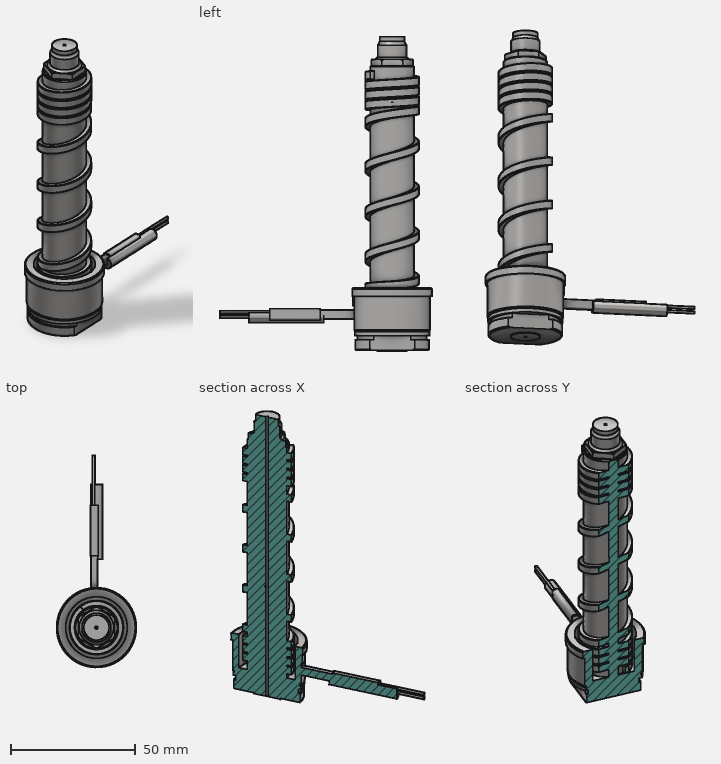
import cadquery as cq
import math

LENGTH = 126.2
BORE_RADIUS = 0.5

FLANGE_RADIUS = 16.0
FLANGE_TOP = 25.5
FLANGE_BOTTOM = 22.1
FLANGE_ROOT_RADIUS = 15.4
CUP_RADIUS = 15.3
CUP_BOTTOM = 8.6
LOWER_RING_RADIUS = 15.0
LOWER_RING_BOTTOM = 6.3
GROOVE_RADIUS = 14.5
GROOVE_HEIGHT = 0.8
EDGE_BREAK = 0.5
RECESS_RADIUS = 12.4

NUT_RADIUS = 14.9
NUT_TOP = 4.5
NUT_BOTTOM = 0.4
NUT_NECK_RADIUS = 14.0
NUT_HALF_FLATS = 11.9
FOOT_RADIUS = 5.9

TUBE_RADIUS = 8.8
TUBE_TOP = 114.6
HEX_HALF_FLATS = 7.3
HEX_TOP = 117.1
HEX_CHAMFER = 0.4
HEX_CONE_RADIUS = 7.0
TIP_BODY_RADIUS = 5.8
TIP_BODY_BOTTOM = 118.0
TIP_BODY_TOP = 122.8
TIP_COLLAR_RADIUS = 5.3
TIP_COLLAR_TOP = 123.5
TIP_RADIUS = 5.0
TIP_SHOULDER = 124.3

SPRING_RADIUS = 10.9
SPRING_EMBED = 0.3
WIRE_HEIGHT = 3.4
WIRE_CHAMFER = 0.3
CLOSED_PITCH = 3.9
OPEN_PITCH = 18.0
OPEN_START_HEIGHT = 30.4
POINTS_PER_TURN = 16

LOWER_CLOSED_END_ANGLE = -180
OPEN_START_ANGLE = -52
OPEN_END_ANGLE = 3 * 360 + 90
UPPER_CLOSED_START_ANGLE = 3 * 360 + 247
SPRING_END_ANGLE = 7 * 360 + 127

CABLE_X = -0.9
CABLE_Z = 14.8
CABLE_WIDTH = 2.7
CABLE_HEIGHT = 3.7
CABLE_CORNER = 0.5
CLIP_WIDTH = 3.0
CLIP_HEIGHT = 4.8
CLIP_CORNER = 0.9
CLIP_START = 28.9
CLIP_END = 49.1
SLEEVE_RADIUS = 2.4
SLEEVE_X = 0.1
SLEEVE_Z = 13.8
SLEEVE_START = 27.4
SLEEVE_END = 57.4
LEAD_RADIUS = 0.57
LEAD_X = -1.1
LEAD_SPACING = 1.9
CABLE_END = 69.0
ENTRY_Y = 15.8
ENTRY_BOTTOM = 18.3

CLOSED_TURNS = (SPRING_END_ANGLE - UPPER_CLOSED_START_ANGLE) / 360
LOWER_TRANSITION_TURNS = (OPEN_START_ANGLE - LOWER_CLOSED_END_ANGLE) / 360
OPEN_TURNS = (OPEN_END_ANGLE - OPEN_START_ANGLE) / 360
UPPER_TRANSITION_TURNS = (UPPER_CLOSED_START_ANGLE - OPEN_END_ANGLE) / 360
OPEN_START = CLOSED_TURNS + LOWER_TRANSITION_TURNS
OPEN_END = OPEN_START + OPEN_TURNS
UPPER_CLOSED_START = OPEN_END + UPPER_TRANSITION_TURNS
TOTAL_TURNS = UPPER_CLOSED_START + CLOSED_TURNS
SPRING_START_ANGLE = SPRING_END_ANGLE - 360 * TOTAL_TURNS

MEAN_PITCH = (CLOSED_PITCH + OPEN_PITCH) / 2
LOWER_CLOSED_HEIGHT = OPEN_START_HEIGHT - LOWER_TRANSITION_TURNS * MEAN_PITCH
SPRING_START_HEIGHT = LOWER_CLOSED_HEIGHT - CLOSED_TURNS * CLOSED_PITCH
OPEN_END_HEIGHT = OPEN_START_HEIGHT + OPEN_TURNS * OPEN_PITCH
UPPER_CLOSED_HEIGHT = OPEN_END_HEIGHT + UPPER_TRANSITION_TURNS * MEAN_PITCH
RECESS_FLOOR = SPRING_START_HEIGHT - WIRE_HEIGHT / 2


def revolve_about_z(outline):
    """Turn a closed outline of (radius, height) points about Z."""
    return cq.Workplane("XZ").polyline(outline).close().revolve(360, (0, 0), (0, 1))


def cylinder(radius, bottom, top):
    return cq.Workplane("XY").workplane(offset=bottom).circle(radius).extrude(top - bottom)


def make_cup():
    outline = [
        (0, LOWER_RING_BOTTOM),
        (LOWER_RING_RADIUS, LOWER_RING_BOTTOM),
        (LOWER_RING_RADIUS, CUP_BOTTOM - GROOVE_HEIGHT),
        (GROOVE_RADIUS, CUP_BOTTOM - GROOVE_HEIGHT / 2),
        (CUP_RADIUS, CUP_BOTTOM),
        (CUP_RADIUS, FLANGE_BOTTOM - EDGE_BREAK),
        (FLANGE_ROOT_RADIUS, FLANGE_BOTTOM),
        (FLANGE_RADIUS, FLANGE_BOTTOM),
        (FLANGE_RADIUS, FLANGE_TOP - EDGE_BREAK),
        (FLANGE_RADIUS - EDGE_BREAK, FLANGE_TOP),
        (RECESS_RADIUS, FLANGE_TOP),
        (RECESS_RADIUS, RECESS_FLOOR),
        (0, RECESS_FLOOR),
    ]
    return revolve_about_z(outline)


def make_nut():
    outline = [
        (0, 0),
        (FOOT_RADIUS, 0),
        (FOOT_RADIUS, NUT_BOTTOM),
        (NUT_RADIUS - EDGE_BREAK, NUT_BOTTOM),
        (NUT_RADIUS, NUT_BOTTOM + EDGE_BREAK),
        (NUT_RADIUS, NUT_TOP),
        (NUT_NECK_RADIUS, NUT_TOP),
        (NUT_NECK_RADIUS, LOWER_RING_BOTTOM),
        (0, LOWER_RING_BOTTOM),
    ]
    between_flats = cq.Workplane("XY").box(
        2 * NUT_HALF_FLATS, 2 * NUT_RADIUS, LOWER_RING_BOTTOM, centered=(True, True, False)
    )
    return revolve_about_z(outline).intersect(between_flats)


def make_tube():
    outline = [
        (0, LOWER_RING_BOTTOM),
        (TUBE_RADIUS, LOWER_RING_BOTTOM),
        (TUBE_RADIUS, TUBE_TOP - EDGE_BREAK),
        (TUBE_RADIUS - EDGE_BREAK, TUBE_TOP),
        (0, TUBE_TOP),
    ]
    return revolve_about_z(outline)


def make_hexagon():
    """Hexagon with corners on the Y axis and its top corners turned off."""
    corner_radius = HEX_HALF_FLATS / math.cos(math.pi / 6)
    height = HEX_TOP - TUBE_TOP
    hexagon = cq.Workplane("XY").workplane(offset=TUBE_TOP).polygon(6, 2 * corner_radius)
    hexagon = hexagon.extrude(height).rotate((0, 0, 0), (0, 0, 1), 90)
    turned = cylinder(corner_radius, TUBE_TOP, HEX_TOP).faces(">Z").chamfer(HEX_CHAMFER)
    return hexagon.intersect(turned)


def make_tip():
    outline = [
        (0, TUBE_TOP),
        (HEX_CONE_RADIUS, TUBE_TOP),
        (HEX_CONE_RADIUS, HEX_TOP),
        (TIP_BODY_RADIUS, TIP_BODY_BOTTOM),
        (TIP_BODY_RADIUS, TIP_BODY_TOP),
        (TIP_COLLAR_RADIUS, TIP_COLLAR_TOP),
        (TIP_RADIUS, TIP_SHOULDER),
        (TIP_RADIUS, LENGTH),
        (0, LENGTH),
    ]
    return revolve_about_z(outline)


def spring_height(turn):
    """Height of the wire centre after the given number of turns from the lower end."""
    pitch_change = OPEN_PITCH - CLOSED_PITCH
    if turn <= CLOSED_TURNS:
        return SPRING_START_HEIGHT + CLOSED_PITCH * turn
    if turn <= OPEN_START:
        run = turn - CLOSED_TURNS
        return LOWER_CLOSED_HEIGHT + CLOSED_PITCH * run + pitch_change * run**2 / (2 * LOWER_TRANSITION_TURNS)
    if turn <= OPEN_END:
        return OPEN_START_HEIGHT + OPEN_PITCH * (turn - OPEN_START)
    if turn <= UPPER_CLOSED_START:
        run = turn - OPEN_END
        return OPEN_END_HEIGHT + OPEN_PITCH * run - pitch_change * run**2 / (2 * UPPER_TRANSITION_TURNS)
    return UPPER_CLOSED_HEIGHT + CLOSED_PITCH * (turn - UPPER_CLOSED_START)


def coil_edge(radius, height_offset, first_turn, last_turn):
    """Edge along one corner of the wire section, between two positions in the spring."""
    step_count = math.ceil((last_turn - first_turn) * POINTS_PER_TURN)
    points = []
    for i in range(step_count + 1):
        turn = first_turn + (last_turn - first_turn) * i / step_count
        angle = math.radians(SPRING_START_ANGLE + 360 * turn)
        height = spring_height(turn) + height_offset
        points.append(cq.Vector(radius * math.cos(angle), radius * math.sin(angle), height))
    return cq.Edge.makeSpline(points)


def make_coil(first_turn, last_turn):
    """Stretch of flat wire wound upright around the tube, its inner face sunk slightly into it."""
    inner_radius = TUBE_RADIUS - SPRING_EMBED
    half_height = WIRE_HEIGHT / 2
    section = [
        (inner_radius, -half_height),
        (SPRING_RADIUS - WIRE_CHAMFER, -half_height),
        (SPRING_RADIUS, -half_height + WIRE_CHAMFER),
        (SPRING_RADIUS, half_height - WIRE_CHAMFER),
        (SPRING_RADIUS - WIRE_CHAMFER, half_height),
        (inner_radius, half_height),
    ]
    edges = [coil_edge(radius, offset, first_turn, last_turn) for radius, offset in section]
    faces = [cq.Face.makeRuledSurface(edges[i - 1], edges[i]) for i in range(len(edges))]
    for position in (0, 1):
        corners = [edge.positionAt(position) for edge in edges]
        faces.append(cq.Face.makeFromWires(cq.Wire.makePolygon(corners, close=True)))
    coil = cq.Solid.makeSolid(cq.Shell.makeShell(faces))
    return cq.Workplane("XY").newObject([coil.fix()])


def bar_along_y(width, height, corner, start, end):
    """Round-cornered bar centred on the cable."""
    bar = cq.Workplane("XY").box(width, end - start, height).edges("|Y").fillet(corner)
    return bar.translate((CABLE_X, (start + end) / 2, CABLE_Z))


def rod_along_y(radius, x, z, start, end):
    rod = cq.Workplane("XZ").circle(radius).extrude(start - end)
    return rod.translate((x, start, z))


def make_cable():
    wall_middle = (CUP_RADIUS + RECESS_RADIUS) / 2
    cable = bar_along_y(CABLE_WIDTH, CABLE_HEIGHT, CABLE_CORNER, wall_middle, CLIP_END)
    cable = cable.union(bar_along_y(CLIP_WIDTH, CLIP_HEIGHT, CLIP_CORNER, CLIP_START, CLIP_END))
    cable = cable.union(rod_along_y(SLEEVE_RADIUS, SLEEVE_X, SLEEVE_Z, SLEEVE_START, SLEEVE_END))
    for side in (-1, 1):
        lead_z = CABLE_Z + side * LEAD_SPACING / 2
        cable = cable.union(rod_along_y(LEAD_RADIUS, LEAD_X, lead_z, CLIP_START, CABLE_END))
    entry_depth = ENTRY_Y - wall_middle
    entry_height = FLANGE_BOTTOM - ENTRY_BOTTOM
    entry = cq.Workplane("XY").box(CABLE_WIDTH, entry_depth, entry_height, centered=(True, False, False))
    return cable.union(entry.translate((CABLE_X, wall_middle, ENTRY_BOTTOM)))


result = make_cup()
for feature in (make_nut(), make_tube(), make_hexagon(), make_tip(), make_cable()):
    result = result.union(feature)
coil_breaks = (0, CLOSED_TURNS, OPEN_START, OPEN_END, UPPER_CLOSED_START, TOTAL_TURNS)
for first_turn, last_turn in zip(coil_breaks, coil_breaks[1:]):
    result = result.union(make_coil(first_turn, last_turn))
result = result.cut(cylinder(BORE_RADIUS, 0, LENGTH))